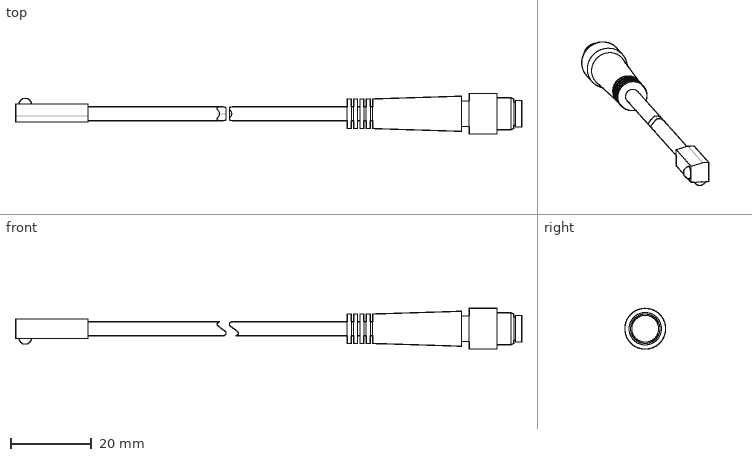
import cadquery as cq
import math

cable_diameter = 3.5
cable_radius = cable_diameter / 2

sensor_break_x = 50.9
break_gap = 3.0
break_swing = 1.1
break_swing_height = 1.1
break_rim_offset = 0.5

sensor_length = 17.9
sensor_height = 4.9
sensor_width = 4.5
sensor_half_height = sensor_height / 2
sensor_back_y = sensor_half_height
sensor_front_y = sensor_back_y - sensor_width
sensor_ridge_y = -0.5
sensor_slope_drop = 0.8

knob_x = 2.4
knob_base_radius = 1.6
knob_tip_radius = 0.5
knob_height = 1.4
knob_shoulder_radius = 1.3
knob_shoulder_height = 0.8
back_knob_z = -0.5
bottom_knob_y = -0.3

fins_start_x = 82.0
fin_count = 4
fin_width = 1.0
fin_diameter = 7.4
grip_start_x = 88.2
fin_pitch = (grip_start_x - fins_start_x) / fin_count
grip_end_x = 110.2
grip_end_diameter = 8.8
neck_diameter = 6.4
nut_start_x = 112.1
nut_end_x = 119.0
nut_diameter = 10.1
tip_diameter = 8.0
tip_chamfer_x = 122.4
tip_step_x = 123.1
tip_step_diameter = 7.3
tip_groove_end_x = 123.5
tip_groove_diameter = 5.8
tip_end_diameter = 6.6
plug_end_x = 125.1


def cylinder(start_x, end_x, diameter):
    """Round bar along the X axis."""
    return cq.Workplane("YZ", origin=(start_x, 0, 0)).circle(diameter / 2).extrude(end_x - start_x)


def cone(start_x, end_x, start_diameter, end_diameter):
    """Tapered round bar along the X axis."""
    outline = [
        (start_x, 0),
        (start_x, start_diameter / 2),
        (end_x, end_diameter / 2),
        (end_x, 0),
    ]
    return cq.Workplane("XY").polyline(outline).close().revolve(360, (0, 0, 0), (1, 0, 0))


def break_block(middle_x, far_x):
    """Block from the S-shaped cut to far_x, deep enough to hold the cable."""
    curve = [
        (middle_x - break_rim_offset, cable_radius),
        (middle_x - break_swing, break_swing_height),
        (middle_x, 0),
        (middle_x + break_swing, -break_swing_height),
        (middle_x + break_rim_offset, -cable_radius),
    ]
    return (
        cq.Workplane("XZ")
        .moveTo(*curve[0])
        .spline(curve[1:], includeCurrent=True)
        .lineTo(far_x, -cable_radius)
        .lineTo(far_x, cable_radius)
        .close()
        .extrude(cable_radius, both=True)
    )


def cable_piece(fixed_x, break_x):
    """Cable from its fixed end to the S-shaped break."""
    reach_x = break_x + math.copysign(2 * break_swing, break_x - fixed_x)
    return cylinder(fixed_x, reach_x, cable_diameter).intersect(break_block(break_x, fixed_x))


def sensor_housing():
    section = [
        (sensor_front_y, -sensor_half_height),
        (sensor_back_y, -sensor_half_height),
        (sensor_back_y, sensor_half_height - sensor_slope_drop),
        (sensor_ridge_y, sensor_half_height),
        (sensor_front_y, sensor_half_height),
    ]
    return cq.Workplane("YZ").polyline(section).close().extrude(sensor_length)


def knob(base_center, outward):
    """Rounded knob with a small flat tip, standing on a housing face."""
    half_section = (
        cq.Workplane("XZ")
        .lineTo(knob_base_radius, 0)
        .threePointArc((knob_shoulder_radius, knob_shoulder_height), (knob_tip_radius, knob_height))
        .lineTo(0, knob_height)
        .close()
    )
    upright = half_section.revolve(360, (0, 0, 0), (0, 1, 0)).val()
    face_plane = cq.Plane(origin=base_center, xDir=(1, 0, 0), normal=outward)
    return cq.Workplane(upright.moved(cq.Location(face_plane)))


def sensor_body():
    cable = cable_piece(sensor_length, sensor_break_x)
    back_knob = knob((knob_x, sensor_back_y, back_knob_z), (0, 1, 0))
    bottom_knob = knob((knob_x, bottom_knob_y, -sensor_half_height), (0, 0, -1))
    return sensor_housing().union(cable).union(back_knob).union(bottom_knob)


def plug_body():
    body = cable_piece(grip_start_x, sensor_break_x + break_gap)
    for index in range(fin_count):
        fin_x = fins_start_x + index * fin_pitch
        body = body.union(cylinder(fin_x, fin_x + fin_width, fin_diameter))
    body = body.union(cone(grip_start_x, grip_end_x, fin_diameter, grip_end_diameter))
    body = body.union(cylinder(grip_end_x, nut_start_x, neck_diameter))
    body = body.union(cylinder(nut_start_x, nut_end_x, nut_diameter))
    body = body.union(cylinder(nut_end_x, tip_chamfer_x, tip_diameter))
    body = body.union(cone(tip_chamfer_x, tip_step_x, tip_diameter, tip_step_diameter))
    body = body.union(cylinder(tip_step_x, tip_groove_end_x, tip_groove_diameter))
    return body.union(cylinder(tip_groove_end_x, plug_end_x, tip_end_diameter))


sensor = sensor_body()
plug = plug_body()

result = cq.Compound.makeCompound([sensor.val(), plug.val()])